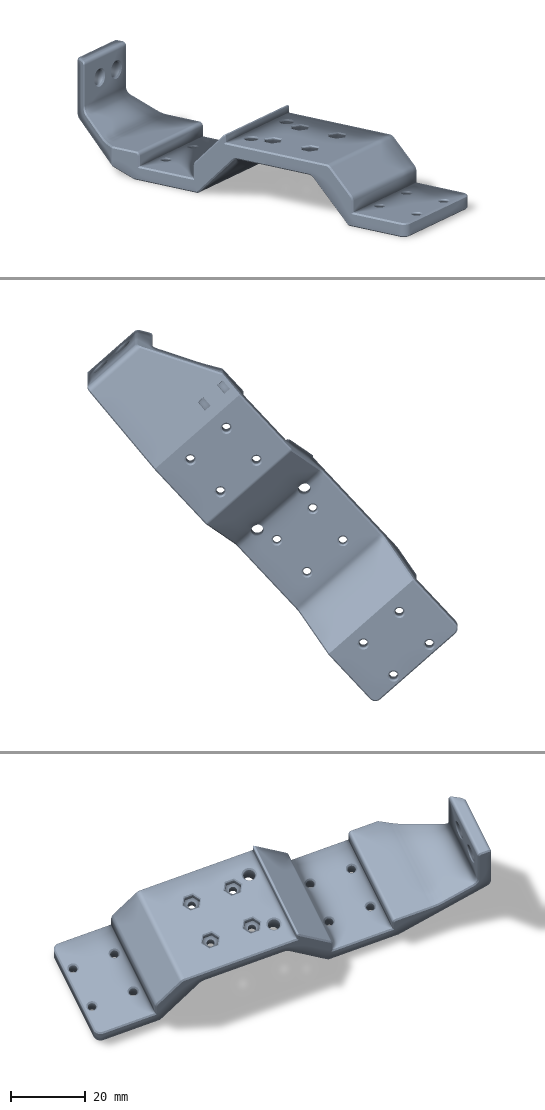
import cadquery as cq
import math

length = 115.0
width = 31.0
height = 26.0
plate = 4.0
deck_z = 16.0
ledge_z = 8.0
shoulder_z = 8.2
lip_height = 2.0
lip_flat = 0.6
edge_chamfer = 0.4

module_length = 17.0
module_pitch = 34.5
module_clearance = 0.2
right_seat_x = length - module_length / 2
deck_x = right_seat_x - module_pitch
left_seat_x = deck_x - module_pitch
seat_half_length = module_length / 2 + module_clearance
ledge_end_x = left_seat_x - seat_half_length
ridge_start_x = left_seat_x + seat_half_length
ridge_end_x = right_seat_x - seat_half_length
lip_start_x = ridge_start_x + deck_z + lip_height - shoulder_z
lip_end_x = lip_start_x + lip_flat
deck_end_x = ridge_end_x - (deck_z - shoulder_z)

ridge_foot_half_span = 24.3
ridge_foot_left = deck_x - ridge_foot_half_span
ridge_foot_right = deck_x + ridge_foot_half_span
arch_z = deck_z - plate

arm_foot_x = 27.0
arm_slope = 1 / 3
arm_bottom_z = arm_foot_x * arm_slope
arm_rise = plate * math.hypot(1, arm_slope)
arm_top_at_upright = arm_bottom_z + arm_rise - plate * arm_slope
arm_top_end_x = (arm_bottom_z + arm_rise - ledge_z) / arm_slope

upright_round = 1.0
ledge_round = 1.0
ridge_foot_round = 1.0
bend_round = 2.0
arm_blend_round = 10.0
corner_round = 2.0

upright_width = 18.0
cut_length = 20.0
cut_depth = width - upright_width

module_hole_pitch_x = 12.0
module_hole_pitch_y = 13.0
seat_hole_diameter = 2.3
deck_hole_diameter = 2.2
nut_across_flats = 4.2
nut_depth = 1.6
nut_chamfer = 0.3
cable_hole_diameter = 3.3
cable_hole_pitch = 17.0
cable_hole_x = 60.4
upright_hole_diameter = 4.4
upright_hole_pitch = 8.0
upright_hole_z = 19.5
upright_hole_mid_y = 22.0
hole_chamfer = 0.4

recess_length = 3.0
recess_width = 2.0
recess_depth = 0.6
recess_x = 22.8
recess_first_y = 2.1
recess_pitch = 7.0

mid_y = width / 2
UP = (0, 0, 1)
ALONG_X = (1, 0, 0)
HEXAGON_SIDES = 6


def side_profile():
    """Corners of the side outline as (x, z, rounding radius)."""
    return [
        (0, height, upright_round),
        (plate, height, upright_round),
        (plate, arm_top_at_upright, bend_round),
        (arm_top_end_x, ledge_z, arm_blend_round),
        (ledge_end_x, ledge_z, ledge_round),
        (ledge_end_x, plate, 0),
        (ridge_start_x, plate, 0),
        (ridge_start_x, shoulder_z, bend_round),
        (lip_start_x, deck_z + lip_height, 0),
        (lip_end_x, deck_z + lip_height, 0),
        (lip_end_x, deck_z, 0),
        (deck_end_x, deck_z, bend_round),
        (ridge_end_x, shoulder_z, bend_round),
        (ridge_end_x, plate, 0),
        (length, plate, 0),
        (length, 0, 0),
        (ridge_foot_right, 0, 0),
        (ridge_foot_right - arch_z, arch_z, bend_round),
        (ridge_foot_left + arch_z, arch_z, bend_round),
        (ridge_foot_left, 0, ridge_foot_round),
        (arm_foot_x, 0, 0),
        (0, arm_bottom_z, bend_round),
    ]


def extruded_profile():
    """Full-width body with every bend of the outline rounded."""
    corners = side_profile()
    outline = cq.Workplane("XZ").polyline([(x, z) for x, z, _ in corners]).close()
    body = outline.extrude(-width)
    for x, z, radius in corners:
        if radius:
            corner_edge = cq.selectors.NearestToPointSelector((x, mid_y, z))
            body = body.edges("|Y").edges(corner_edge).fillet(radius)
    return body


def trim_plan(body):
    """Cut the slanted corner beside the upright and round the two far corners."""
    triangle = [(0, 0), (cut_length, 0), (0, cut_depth)]
    corner = cq.Workplane("XY").polyline(triangle).close().extrude(height)
    body = body.cut(corner)
    return body.faces(">X").edges("|Z").fillet(corner_round)


def chamfer_rim(body):
    """Chamfer the edges around the sides, the angled cut and the far end.

    Edges shared by two of these faces are the upright plan corners, which stay as they are.
    """
    cut_middle = (cut_length / 2, cut_depth / 2, ledge_z)
    rim_selectors = ["<Y", ">Y", ">X", cq.selectors.NearestToPointSelector(cut_middle)]
    for y in (0, width):
        rim_selectors.append(cq.selectors.NearestToPointSelector((length, y, plate / 2)))

    rim_edges = []
    for selector in rim_selectors:
        for edge in body.faces(selector).edges().vals():
            shared = [other for other in rim_edges if other.isSame(edge)]
            if shared:
                rim_edges.remove(shared[0])
            else:
                rim_edges.append(edge)
    return body.newObject(rim_edges).chamfer(edge_chamfer)


def mouth_cone(plane, hole_diameter):
    """Cone that chamfers a hole mouth, narrowing from the plane along its normal."""
    radius = hole_diameter / 2
    cone = cq.Solid.makeCone(radius + hole_chamfer, radius, hole_chamfer, plane.origin, plane.zDir)
    return cq.Workplane(cone)


def hole_cutter(start, direction, diameter, depth, chamfer_start=True, chamfer_end=True):
    """Cutter for a round hole running from start along direction, chamfered at the chosen ends."""
    start_plane = cq.Plane(origin=start, normal=direction)
    cutter = cq.Workplane(start_plane).circle(diameter / 2).extrude(depth)
    if chamfer_start:
        cutter = cutter.union(mouth_cone(start_plane, diameter))
    if chamfer_end:
        end = start_plane.toWorldCoords((0, 0, depth))
        end_plane = cq.Plane(origin=end, normal=-start_plane.zDir)
        cutter = cutter.union(mouth_cone(end_plane, diameter))
    return cutter


def module_points(center_x):
    """The four screw positions of a module seat."""
    return [
        (center_x + sx * module_hole_pitch_x / 2, mid_y + sy * module_hole_pitch_y / 2)
        for sx in (-1, 1)
        for sy in (-1, 1)
    ]


def drill_low_seats(body):
    """Screw holes in the two low seats."""
    for center_x in (left_seat_x, right_seat_x):
        for x, y in module_points(center_x):
            body = body.cut(hole_cutter((x, y, 0), UP, seat_hole_diameter, plate))
    return body


def nut_pocket(x, y):
    """Hexagonal nut pocket sunk into the deck, with a chamfered mouth."""
    flats_to_corners = 1 / math.cos(math.pi / HEXAGON_SIDES)
    corner_diameter = nut_across_flats * flats_to_corners
    mouth_diameter = (nut_across_flats + 2 * nut_chamfer) * flats_to_corners
    floor = cq.Workplane("XY", origin=(x, y, deck_z - nut_depth))
    pocket = floor.polygon(HEXAGON_SIDES, corner_diameter).extrude(nut_depth)
    mouth = (
        cq.Workplane("XY", origin=(x, y, deck_z - nut_chamfer))
        .polygon(HEXAGON_SIDES, corner_diameter)
        .workplane(offset=nut_chamfer)
        .polygon(HEXAGON_SIDES, mouth_diameter)
        .loft(ruled=True)
    )
    return pocket.union(mouth)


def drill_deck(body):
    """Screw holes with nut pockets in the raised deck, and the two cable holes."""
    for x, y in module_points(deck_x):
        body = body.cut(hole_cutter((x, y, arch_z), UP, deck_hole_diameter, plate, chamfer_end=False))
        body = body.cut(nut_pocket(x, y))
    for side in (-1, 1):
        y = mid_y + side * cable_hole_pitch / 2
        cutter = hole_cutter((cable_hole_x, y, 0), UP, cable_hole_diameter, deck_z, chamfer_start=False)
        body = body.cut(cutter)
    return body


def drill_upright(body):
    """Two mounting holes through the upright."""
    for side in (-1, 1):
        y = upright_hole_mid_y + side * upright_hole_pitch / 2
        body = body.cut(hole_cutter((0, y, upright_hole_z), ALONG_X, upright_hole_diameter, plate))
    return body


def recess_arm(body):
    """Sink the two recesses at right angles to the sloping underside."""
    along_arm = (1, 0, -arm_slope)
    into_arm = (arm_slope, 0, 1)
    for y in (recess_first_y, recess_first_y + recess_pitch):
        mouth_center = (recess_x, y, arm_bottom_z - arm_slope * recess_x)
        plane = cq.Plane(origin=mouth_center, xDir=along_arm, normal=into_arm)
        body = body.cut(cq.Workplane(plane).rect(recess_length, recess_width).extrude(recess_depth))
    return body


result = extruded_profile()
for feature in (trim_plan, chamfer_rim, drill_low_seats, drill_deck, drill_upright, recess_arm):
    result = feature(result)